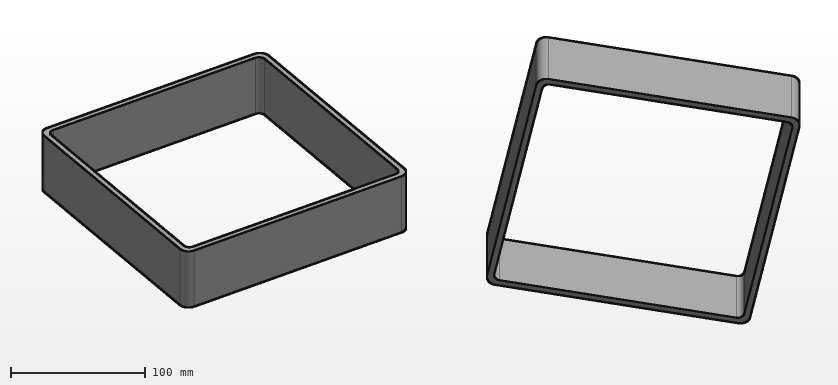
import cadquery as cq

side = 200.0
height = 50.0
wall = 5.0
outer_radius = 7.5
inner_radius = 5.0


def rounded_block(width, radius):
    """Square block standing on Z = 0 with rounded vertical edges."""
    return cq.Workplane("XY").rect(width, width).extrude(height).edges("|Z").fillet(radius)


opening = rounded_block(side - 2 * wall, inner_radius)
result = rounded_block(side, outer_radius).cut(opening)